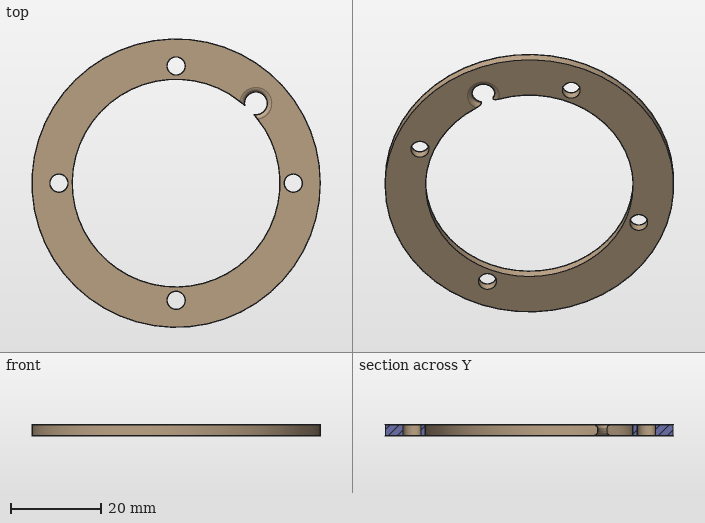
import cadquery as cq
import math

outer_diameter = 64
inner_diameter = 46.0
thickness = 2.5

bolt_circle_diameter = 52.0
bolt_hole_diameter = 4.0
bolt_hole_count = 4

notch_diameter = 5.0
notch_centre_radius = 25.0
notch_angle = 45
rim_radius = 1.0


def make_ring():
    return (
        cq.Workplane("XY")
        .circle(outer_diameter / 2)
        .circle(inner_diameter / 2)
        .extrude(thickness)
    )


def make_bolt_holes():
    return (
        cq.Workplane("XY")
        .polarArray(bolt_circle_diameter / 2, 0, 360, bolt_hole_count)
        .circle(bolt_hole_diameter / 2)
        .extrude(thickness)
    )


def make_notch_cutter():
    """Revolved cutter that flares outward along an arc at each end."""
    throat = notch_diameter / 2
    mouth = throat + rim_radius
    arc_inset = rim_radius * (1 - math.sqrt(0.5))
    profile = (
        cq.Workplane("XZ")
        .lineTo(mouth, 0)
        .threePointArc((throat + arc_inset, arc_inset), (throat, rim_radius))
        .lineTo(throat, thickness - rim_radius)
        .threePointArc((throat + arc_inset, thickness - arc_inset), (mouth, thickness))
        .lineTo(0, thickness)
        .close()
    )
    cutter = profile.revolve(360, (0, 0, 0), (0, 1, 0))
    angle = math.radians(notch_angle)
    return cutter.translate(
        (notch_centre_radius * math.cos(angle), notch_centre_radius * math.sin(angle), 0)
    )


result = make_ring().cut(make_bolt_holes()).cut(make_notch_cutter())